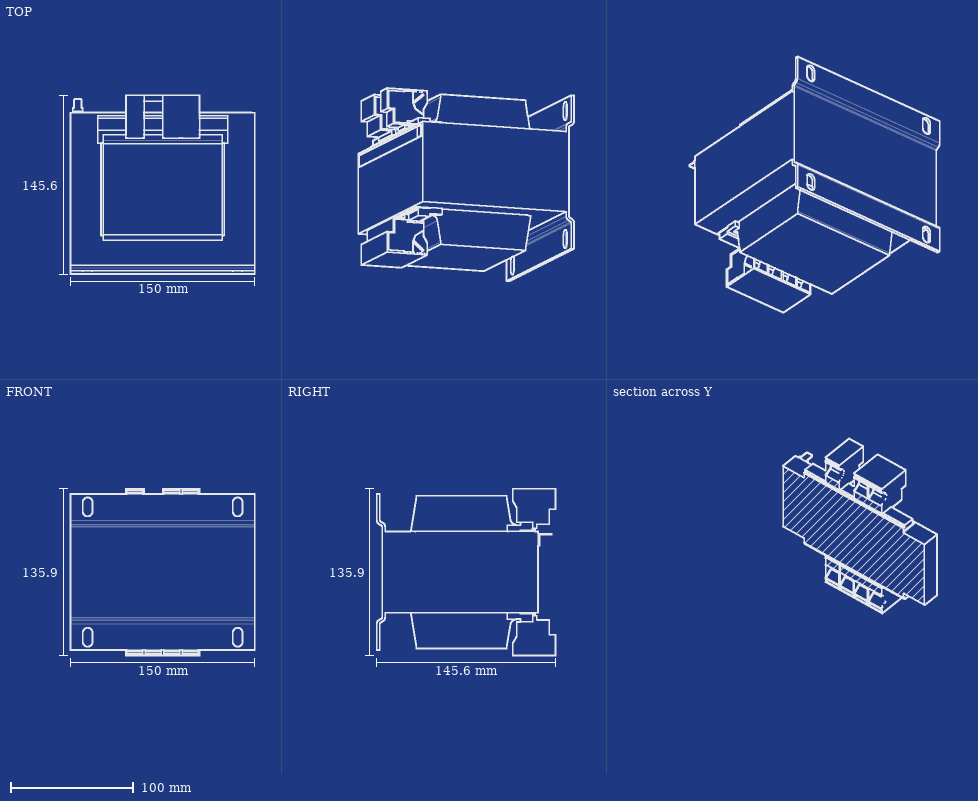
import cadquery as cq
import math


LENGTH = 150.0
CORE_BACK = 131.4
CORE_HALF_Z = 33.2
LIMB = 25.0
WINDOW_HALF_X = LENGTH / 2 - LIMB
WINDOW_FRONT = 31.5
WINDOW_BACK = 106.7

SHEET = 2.6
PLATE_FRONT = 4.4
PLATE_BACK = PLATE_FRONT + SHEET
FLANGE_HALF_Z = 63.5
BEND_START_Z = 36.9
BEND_ANGLE = math.radians(60)
BEND_INNER_R = 1.0
SLOT_X = 61.0
SLOT_Z = 53.0
SLOT_LENGTH = 15.2
SLOT_WIDTH = 7.8

COIL_HALF_X = 48.5
COIL_HALF_Z = 62.2
COIL_RIM = 2.3
COIL_FRONT = 27.7
COIL_TOP_FRONT = 32.1
COIL_TOP_BACK = 106.0
FLARE_START = (108.9, 42.6)
FLARE_END = (113.5, 38.6)

FRAME_HALF_X = 52.8
FRAME_FRONT = 106.4
LEDGE_Z = 38.2
RAIL_FRONT = 116.8
RAIL_BACK = 126.9
RAIL_Z = 40.5
LIP_BACK = 128.8
LIP_Z = 35.2
PAD_HEIGHT = 0.7
PAD_INSET = 0.6

TERMINAL_BACK = 145.57
TERMINAL_FRONT = 110.6
TERMINAL_TOP = 135.9 / 2
TERMINAL_COUNT = 4
TERMINAL_PITCH = 15.0
MISSING_UPPER = 1
CHEEK = 1.0
RELIEF_DEPTH = 0.2

STRIP_LEFT = -63.8
STRIP_RIGHT = 72.0
STRIP_THICKNESS = 0.4
TAB_X = -69.0
TAB_WIDTH = 6.4
TAB_BASE_WIDTH = 8.4
TAB_BASE_END = 135.1
TAB_END = 142.5
TAB_CHAMFER = 0.8
TAB_TOP = 31.2
TAB_THICKNESS = 0.8
TAB_LEG_BOTTOM = 21.6
TAB_LEG_THICKNESS = 1.2


def box(x_range, y_range, z_range):
    """Axis-aligned block between the given limits."""
    size = [r[1] - r[0] for r in (x_range, y_range, z_range)]
    corner = (x_range[0], y_range[0], z_range[0])
    return cq.Workplane("XY").box(*size, centered=False).translate(corner)


def extrude_x(profile, x_start, x_end):
    """Extrude a closed YZ profile between two X positions."""
    return profile.extrude(x_end - x_start).translate((x_start, 0, 0))


def prism_x(points, x_start, x_end):
    """Prism along X with a polygonal YZ section."""
    return extrude_x(cq.Workplane("YZ").polyline(points).close(), x_start, x_end)


def both_sides(body):
    """The body together with its mirror image below Z = 0."""
    return body.union(body.mirror("XY"))


def make_core():
    core = box((-LENGTH / 2, LENGTH / 2), (PLATE_BACK, CORE_BACK), (-CORE_HALF_Z, CORE_HALF_Z))
    windows = box(
        (-WINDOW_HALF_X, WINDOW_HALF_X), (WINDOW_FRONT, WINDOW_BACK), (-CORE_HALF_Z, CORE_HALF_Z)
    )
    return core.cut(windows)


def make_flange():
    """Upper flange: double bend from the plate forward to the mounting plane."""
    inner = BEND_INNER_R
    outer = inner + SHEET
    rise = math.sin(BEND_ANGLE)
    drop = 1 - math.cos(BEND_ANGLE)
    straight = (PLATE_FRONT - (inner + outer) * drop) / rise
    bend_end_z = BEND_START_Z + (inner + outer) * rise + straight * math.cos(BEND_ANGLE)

    def on_plate_bend(radius, angle):
        y = PLATE_FRONT - inner + radius * math.cos(angle)
        return y, BEND_START_Z + radius * math.sin(angle)

    def on_foot_bend(radius, angle):
        return outer - radius * math.cos(angle), bend_end_z - radius * math.sin(angle)

    half = BEND_ANGLE / 2
    profile = (
        cq.Workplane("YZ")
        .moveTo(PLATE_FRONT, 0)
        .lineTo(*on_plate_bend(inner, 0))
        .threePointArc(on_plate_bend(inner, half), on_plate_bend(inner, BEND_ANGLE))
        .lineTo(*on_foot_bend(outer, BEND_ANGLE))
        .threePointArc(on_foot_bend(outer, half), on_foot_bend(outer, 0))
        .lineTo(0, FLANGE_HALF_Z)
        .lineTo(SHEET, FLANGE_HALF_Z)
        .lineTo(*on_foot_bend(inner, 0))
        .threePointArc(on_foot_bend(inner, half), on_foot_bend(inner, BEND_ANGLE))
        .lineTo(*on_plate_bend(outer, BEND_ANGLE))
        .threePointArc(on_plate_bend(outer, half), on_plate_bend(outer, 0))
        .lineTo(PLATE_BACK, 0)
        .close()
    )
    slots = (
        cq.Workplane("XZ")
        .pushPoints([(-SLOT_X, SLOT_Z), (SLOT_X, SLOT_Z)])
        .slot2D(SLOT_LENGTH, SLOT_WIDTH, 90)
        .extrude(-SHEET)
    )
    return extrude_x(profile, -LENGTH / 2, LENGTH / 2).cut(slots)


def make_coil():
    """Upper half of the winding: tapered front, flared back."""
    rim_z = COIL_HALF_Z - COIL_RIM
    inside = box((-COIL_HALF_X, COIL_HALF_X), (WINDOW_FRONT, WINDOW_BACK), (0, CORE_HALF_Z))
    head = (
        cq.Workplane("YZ")
        .moveTo(COIL_FRONT, CORE_HALF_Z)
        .lineTo(COIL_TOP_FRONT, rim_z)
        .lineTo(COIL_TOP_FRONT, COIL_HALF_Z)
        .lineTo(COIL_TOP_BACK, COIL_HALF_Z)
        .lineTo(COIL_TOP_BACK, rim_z)
        .lineTo(*FLARE_START)
        .tangentArcPoint(FLARE_END, relative=False)
        .lineTo(FLARE_END[0], CORE_HALF_Z)
        .close()
    )
    return extrude_x(head, -COIL_HALF_X, COIL_HALF_X).union(inside)


def make_frame():
    """Stepped carrier bar for the upper terminals, its rear part standing on an inset pad."""
    pad_top = CORE_HALF_Z + PAD_HEIGHT
    pad_half_x = FRAME_HALF_X - PAD_INSET
    section = [
        (FRAME_FRONT, CORE_HALF_Z),
        (FRAME_FRONT, LEDGE_Z),
        (RAIL_FRONT, LEDGE_Z),
        (RAIL_FRONT, RAIL_Z),
        (RAIL_BACK, RAIL_Z),
        (RAIL_BACK, LIP_Z),
        (LIP_BACK, LIP_Z),
        (LIP_BACK, pad_top),
        (RAIL_FRONT, pad_top),
        (RAIL_FRONT, CORE_HALF_Z),
    ]
    pad = box((-pad_half_x, pad_half_x), (RAIL_FRONT, LIP_BACK - PAD_INSET), (CORE_HALF_Z, pad_top))
    return prism_x(section, -FRAME_HALF_X, FRAME_HALF_X).union(pad)


def make_terminal(left):
    """One upper terminal whose left face lies at the given X.

    The housing has a wire entry between two cheeks, crossed by a sloping clamp strip.
    A shallow relief on the left face leaves a raised rim along the back, top and bottom.
    """
    right = left + TERMINAL_PITCH
    step_y = 140.4
    step_z = 50.9
    base_z = 38.8
    hook_back = 130.3
    hook_z = 35.5
    neck_y = 113.9
    neck_z = 52.2
    cheek_z = 57.8
    housing = [
        (TERMINAL_FRONT, TERMINAL_TOP),
        (TERMINAL_BACK, TERMINAL_TOP),
        (TERMINAL_BACK, step_z),
        (step_y, step_z),
        (step_y, base_z),
        (hook_back, base_z),
        (hook_back, hook_z),
        (RAIL_BACK, hook_z),
        (RAIL_BACK, RAIL_Z),
        (neck_y, RAIL_Z),
        (neck_y, neck_z),
        (TERMINAL_FRONT, cheek_z),
    ]
    roof_z = 66.5
    throat_top = (122.8, 57.4)
    throat_bottom = (120.8, 52.5)
    floor_front = (neck_y, 47.9)
    entry = [
        (TERMINAL_FRONT, roof_z),
        (throat_top[0], roof_z),
        throat_top,
        throat_bottom,
        floor_front,
        (TERMINAL_FRONT, floor_front[1]),
    ]
    clamp_root = (122.4, 58.2)
    clamp_tip = (114.6, 64.9)
    clamp_offset = 0.8
    clamp = [
        clamp_root,
        clamp_tip,
        (clamp_tip[0] - clamp_offset, clamp_tip[1] - clamp_offset),
        (clamp_root[0] - clamp_offset, clamp_root[1] - clamp_offset),
    ]
    wall = 1.3
    roof_step_y = 130.9
    roof_step_z = 66.0
    foot_step_y = 128.2
    foot_step_z = 41.9
    relief = [
        (throat_top[0], roof_z),
        (roof_step_y, roof_z),
        (roof_step_y, roof_step_z),
        (TERMINAL_BACK - wall, roof_step_z),
        (TERMINAL_BACK - wall, step_z + wall / 2),
        (step_y - wall, step_z + wall / 2),
        (step_y - wall, base_z + wall),
        (foot_step_y, base_z + wall),
        (foot_step_y, foot_step_z),
        (neck_y, foot_step_z),
        floor_front,
        throat_bottom,
        throat_top,
    ]
    body = prism_x(housing, left, right)
    body = body.cut(prism_x(entry, left + CHEEK, right - CHEEK))
    body = body.union(prism_x(clamp, left + CHEEK, right - CHEEK))
    body = body.cut(prism_x(relief, left, left + RELIEF_DEPTH))
    return body.cut(prism_x(clamp, left, left + RELIEF_DEPTH))


def make_terminals():
    """Full row below, and the same row with one position left empty above."""
    row_start = -TERMINAL_COUNT * TERMINAL_PITCH / 2
    bodies = []
    for index in range(TERMINAL_COUNT):
        terminal = make_terminal(row_start + index * TERMINAL_PITCH)
        bodies.append(terminal.mirror("XY"))
        if index != MISSING_UPPER:
            bodies.append(terminal)
    return bodies


def make_strip():
    """Thin strip along the back of the core, level with the leg of the earth tab."""
    return box(
        (STRIP_LEFT, STRIP_RIGHT),
        (CORE_BACK, CORE_BACK + STRIP_THICKNESS),
        (TAB_LEG_BOTTOM, TAB_TOP),
    )


def make_earth_tab():
    """Angle piece: leg against the core and a spade pointing backwards."""
    spade_z = (TAB_TOP - TAB_THICKNESS, TAB_TOP)
    base_x = (TAB_X - TAB_BASE_WIDTH / 2, TAB_X + TAB_BASE_WIDTH / 2)
    leg = box(base_x, (CORE_BACK, CORE_BACK + TAB_LEG_THICKNESS), (TAB_LEG_BOTTOM, TAB_TOP))
    base = box(base_x, (CORE_BACK, TAB_BASE_END), spade_z)
    spade = box((TAB_X - TAB_WIDTH / 2, TAB_X + TAB_WIDTH / 2), (CORE_BACK, TAB_END), spade_z)
    spade = spade.edges("|Z and >Y").chamfer(TAB_CHAMFER)
    return leg.union(base).union(spade)


result = make_core()
result = result.union(both_sides(make_flange()))
result = result.union(both_sides(make_coil()))
result = result.union(both_sides(make_frame()))
for terminal_body in make_terminals():
    result = result.union(terminal_body)
result = result.union(make_strip()).union(make_earth_tab())